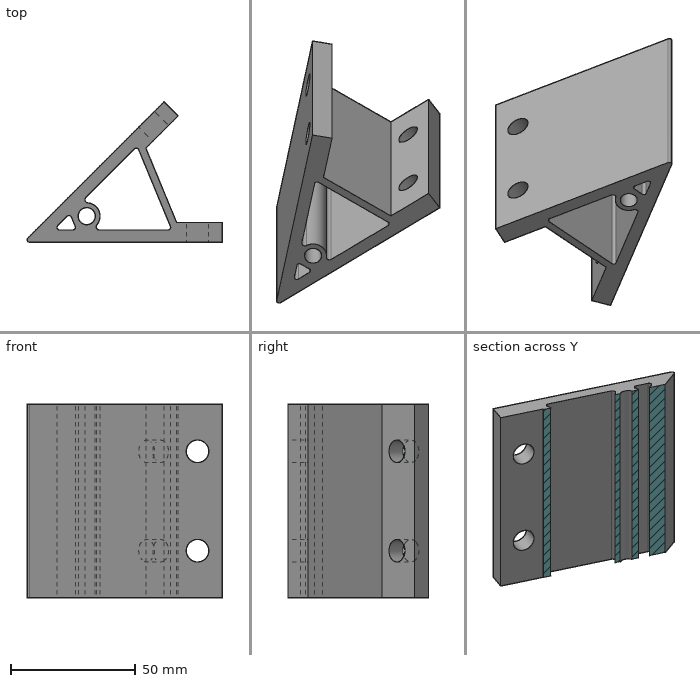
import cadquery as cq
import math

plate_angle = 45.0
plate_length = 80.0
plate_thickness = 8.0
height = 78.0
apex_radius = 1.0

web_outer_distance = 60.0
web_thickness = 3.0
bore_distance = 27.5
small_pocket_distance = 21.6

bore_diameter = 6.8
boss_wall = 2.0

pocket_plate_wall = 5.0
pocket_corner_radius = 1.0
boss_round_radius = 1.25

screw_diameter = 9.0
screw_end_distance = 10.0
screw_spacing = 40.0

half_angle = math.radians(plate_angle / 2)
boss_radius = bore_diameter / 2 + boss_wall
bore_center = (bore_distance * math.cos(half_angle), bore_distance * math.sin(half_angle))


def mirror_across_bisector(point):
    """Carry a point beside the X-axis plate to its twin beside the sloping plate."""
    x, y = point
    angle = math.radians(plate_angle)
    return (
        x * math.cos(angle) + y * math.sin(angle),
        x * math.sin(angle) - y * math.cos(angle),
    )


def point_on_crossline(distance, y):
    """Point with this y on the line square to the bisector at this distance from the apex."""
    return ((distance - y * math.sin(half_angle)) / math.cos(half_angle), y)


def prism(points):
    return cq.Workplane("XY").polyline(points).close().extrude(height)


def bore():
    return cq.Workplane("XY").center(*bore_center).circle(bore_diameter / 2).extrude(height)


def bracket_blank():
    lower_side = [
        (plate_length, 0),
        (plate_length, plate_thickness),
        point_on_crossline(web_outer_distance, plate_thickness),
    ]
    upper_side = [mirror_across_bisector(point) for point in reversed(lower_side)]
    blank = prism([(0, 0)] + lower_side + upper_side)
    apex_edge = cq.selectors.NearestToPointSelector((0, 0, height / 2))
    return blank.edges(apex_edge).fillet(apex_radius)


def small_pocket():
    """Triangle between the plate walls, closed by a line square to the bisector."""
    tip = (pocket_plate_wall / math.tan(half_angle), pocket_plate_wall)
    corner = point_on_crossline(small_pocket_distance, pocket_plate_wall)
    triangle = prism([tip, corner, mirror_across_bisector(corner)])
    return triangle.edges("|Z").fillet(pocket_corner_radius)


def large_pocket():
    """Hollow bounded by the plates, the web and the boss, with rounds beside the boss."""
    bore_x, bore_y = bore_center
    round_y = pocket_plate_wall + boss_round_radius
    center_gap = boss_radius + boss_round_radius
    round_x = bore_x + math.sqrt(center_gap**2 - (bore_y - round_y) ** 2)
    boss_direction = math.atan2(bore_y - round_y, bore_x - round_x)
    wall_direction = math.radians(270)
    middle_direction = (boss_direction + wall_direction) / 2

    def round_point(direction):
        return (
            round_x + boss_round_radius * math.cos(direction),
            round_y + boss_round_radius * math.sin(direction),
        )

    wall_point = round_point(wall_direction)
    middle_point = round_point(middle_direction)
    boss_point = round_point(boss_direction)
    boss_crown = (
        (bore_distance + boss_radius) * math.cos(half_angle),
        (bore_distance + boss_radius) * math.sin(half_angle),
    )
    web_corner = point_on_crossline(web_outer_distance - web_thickness, pocket_plate_wall)
    upper_web_corner = mirror_across_bisector(web_corner)

    pocket = (
        cq.Workplane("XY")
        .moveTo(*wall_point)
        .lineTo(*web_corner)
        .lineTo(*upper_web_corner)
        .lineTo(*mirror_across_bisector(wall_point))
        .threePointArc(mirror_across_bisector(middle_point), mirror_across_bisector(boss_point))
        .threePointArc(boss_crown, boss_point)
        .threePointArc(middle_point, wall_point)
        .close()
        .extrude(height)
    )
    for x, y in (web_corner, upper_web_corner):
        corner_edge = cq.selectors.NearestToPointSelector((x, y, height / 2))
        pocket = pocket.edges(corner_edge).fillet(pocket_corner_radius)
    return pocket


def plate_screw_holes():
    """Pair of cutters square to the X-axis plate, reaching through its thickness."""
    hole_x = plate_length - screw_end_distance
    rows = [(hole_x, height / 2 + side * screw_spacing / 2) for side in (-1, 1)]
    plane = cq.Workplane("XZ")
    return plane.pushPoints(rows).circle(screw_diameter / 2).extrude(-plate_thickness)


def sloping_plate_screw_holes():
    """The same cutters turned to pass inward from the sloping plate's outer face."""
    below_axis = plate_screw_holes().translate((0, -plate_thickness, 0))
    return below_axis.rotate((0, 0, 0), (0, 0, 1), plate_angle)


result = (
    bracket_blank()
    .cut(small_pocket())
    .cut(large_pocket())
    .cut(bore())
    .cut(plate_screw_holes())
    .cut(sloping_plate_screw_holes())
)